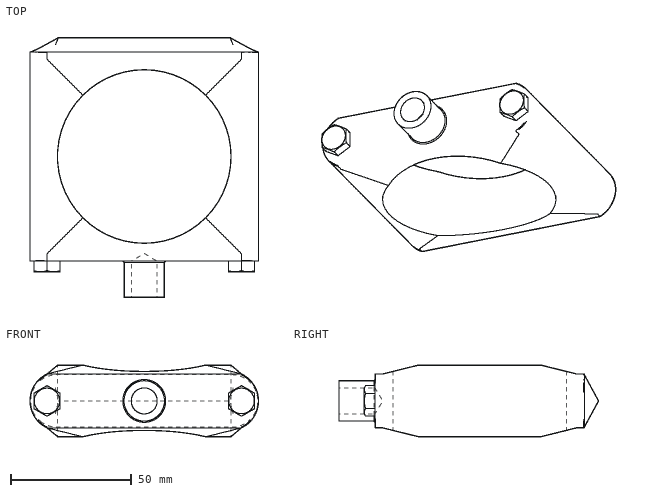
import cadquery as cq
import math

body_width = 95.0
body_length = 87.0
body_height = 22.4
flat_half_width = 40.4
body_edge_radius = 0.3

bore_radius = 36.0
overall_height = 29.82

overall_length = 107.92

ridge_half_length = 35.6
skirt_height = 1.2

bolt_spacing = 2 * flat_half_width
hexagon_sides = 6
bolt_across_flats = 11.0
bolt_head_height = 4.5
bolt_face_diameter = 10.6
bolt_chamfer_slope = 30.0

boss_diameter = 16.8
boss_length = 15.0
boss_flare = 0.5
boss_hole_diameter = 10.8
drill_point_angle = 118.0

half_width = body_width / 2
half_height = body_height / 2
front_y = -body_length / 2
back_y = body_length / 2
ridge_height = overall_length - body_length - boss_length
ridge_half_width = half_height - body_edge_radius


def make_body():
    """Slab with round X ends and softened end-face edges."""
    slab = (
        cq.Workplane("XZ", origin=(0, back_y, 0))
        .moveTo(-flat_half_width, half_height)
        .lineTo(flat_half_width, half_height)
        .threePointArc((half_width, 0), (flat_half_width, -half_height))
        .lineTo(-flat_half_width, -half_height)
        .threePointArc((-half_width, 0), (-flat_half_width, half_height))
        .close()
        .extrude(body_length)
    )
    return slab.faces("<Y or >Y").edges().fillet(body_edge_radius)


def make_raised_top():
    """Sloped faces rising from a square on the slab to the bore edge."""
    corner = bore_radius * math.sqrt(0.5)
    rise = overall_height / 2 - half_height
    slope_run = flat_half_width - corner
    taper = math.degrees(math.atan2(slope_run, rise))

    pyramid = (
        cq.Workplane("XY", origin=(0, 0, half_height))
        .rect(2 * flat_half_width, 2 * flat_half_width)
        .extrude(rise, taper=taper)
    )
    flanks = (
        cq.Workplane("XY", origin=(0, 0, half_height))
        .rect(2 * flat_half_width, 2 * corner)
        .workplane(offset=rise)
        .moveTo(-corner, -corner)
        .lineTo(corner, -corner)
        .threePointArc((bore_radius, 0), (corner, corner))
        .lineTo(-corner, corner)
        .threePointArc((-bore_radius, 0), (-corner, -corner))
        .close()
        .loft(ruled=True)
    )
    return pyramid.union(flanks)


def make_cone(base_radius, top_radius, height, x, y, direction):
    """Cone along Y that grows from (x, y, 0) towards +Y (1) or -Y (-1)."""
    base = cq.Vector(x, y, 0)
    axis = cq.Vector(0, direction, 0)
    return cq.Workplane(cq.Solid.makeCone(base_radius, top_radius, height, base, axis))


def make_ridge():
    """Roof along X with half-cone ends, standing on the back face."""
    roof = (
        cq.Workplane("YZ", origin=(-ridge_half_length, 0, 0))
        .polyline([(back_y, -ridge_half_width), (back_y + ridge_height, 0), (back_y, ridge_half_width)])
        .close()
        .extrude(2 * ridge_half_length)
    )
    skirt_x = half_width - body_edge_radius - ridge_half_width
    cone_radius_at_skirt = ridge_half_width * (1 - skirt_height / ridge_height)
    skirt_top_radius = ridge_half_length + cone_radius_at_skirt - skirt_x
    for side in (-1, 1):
        cone = make_cone(ridge_half_width, 0, ridge_height, side * ridge_half_length, back_y, 1)
        skirt = make_cone(ridge_half_width, skirt_top_radius, skirt_height, side * skirt_x, back_y, 1)
        roof = roof.union(cone).union(skirt)
    return roof


def make_bolt_head(x):
    """Hexagon with points up and down, its outer corners chamfered."""
    half_corner_angle = 180 / hexagon_sides
    across_corners = bolt_across_flats / math.cos(math.radians(half_corner_angle))
    hexagon = (
        cq.Workplane("XZ", origin=(x, front_y, 0))
        .polygon(hexagon_sides, across_corners)
        .extrude(bolt_head_height)
        .rotate((x, 0, 0), (x, 1, 0), half_corner_angle)
    )
    face_radius = bolt_face_diameter / 2
    spread = bolt_head_height / math.tan(math.radians(bolt_chamfer_slope))
    envelope = make_cone(face_radius + spread, face_radius, bolt_head_height, x, front_y, -1)
    return hexagon.intersect(envelope)


def make_boss():
    """Round boss with a small conical flare at its foot."""
    radius = boss_diameter / 2
    flare = make_cone(radius + boss_flare, radius, boss_flare, 0, front_y, -1)
    tube = cq.Workplane("XZ", origin=(0, front_y, 0)).circle(radius).extrude(boss_length)
    return tube.union(flare)


def make_boss_hole():
    """Blind hole as deep as the boss, ending in a drill point."""
    radius = boss_hole_diameter / 2
    point_depth = radius / math.tan(math.radians(drill_point_angle / 2))
    hole = cq.Workplane("XZ", origin=(0, front_y, 0)).circle(radius).extrude(boss_length)
    return hole.union(make_cone(radius, 0, point_depth, 0, front_y, 1))


raised_top = make_raised_top()
result = make_body().union(raised_top).union(raised_top.mirror("XY")).union(make_ridge())
for bolt_x in (-bolt_spacing / 2, bolt_spacing / 2):
    result = result.union(make_bolt_head(bolt_x))
result = result.union(make_boss()).cut(make_boss_hole())

bore = cq.Workplane("XY", origin=(0, 0, -overall_height / 2)).circle(bore_radius).extrude(overall_height)
result = result.cut(bore)